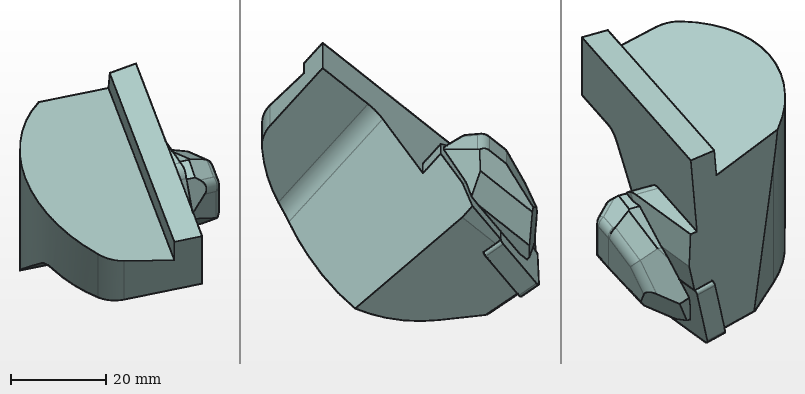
import cadquery as cq
import math

LENGTH = 59.5
FRONT_Y = -31.55
CLEAR = 89.25

FRONT_RADIUS = 32.25
FRONT_CENTRE_X = 34.6
FRONT_FLAT_ANGLE = math.radians(48.9)
END_RADIUS = 7.15

RAIL_TOP = 41.65
RAIL_WIDTH = 6.05
GROOVE_Z = 36.0
TOP_Z = 42.85

BOTTOM_Z = 0.7
BOTTOM_FLAT_Y = 1.2
UNDERCUT_Z = 27.0
UNDERCUT_FOOT_X = 22.1
UNDERCUT_X = 44.6
UNDERCUT_RADIUS = 5.35

LEFT_X = 0.55
LEFT_PER_Y = -0.19
LEFT_PER_Z = 0.18

BEVEL_DEPTH = 0.25

LEDGE_Z = 25.4
LEDGE_Y = 5.8
LEDGE_END_X = 31.9
LEDGE_BEND_X = 25.35
LEDGE_BEND_RADIUS = 4.35
RELIEF_Y = 5.55
RELIEF_PER_Z = -0.19

RAKE_PER_X = 0.2
RAKE_PER_Z = 0.11

INSERT_SIDE = 12.9
INSERT_ANGLE = math.radians(80)
INSERT_THICKNESS = 4.75
INSERT_NOSE_RADIUS = 0.85
INSERT_CORNER_X = -0.135

CLAMP_OUTLINE = [(4.75, 3.85), (4.75, 10.7), (12.55, 18.25), (21.4, 23.55), (26.8, 23.7), (31.55, 16.65), (22.6, 3.85)]
CLAMP_ROOT_Y = 1.8
CLAMP_CROWN_Y = 13.25
CLAMP_EDGE_RADIUS = 5.2 / 2
CLAMP_ROUNDED_EDGES = [
    (10.7, 10.6, 13.7),
    (16.05, 12.1, 18.0),
    (19.9, 13.2, 20.05),
    (23.5, 13.25, 20.0),
    (27.1, 12.2, 20.7),
    (26.65, 13.25, 15.45),
]
CLAMP_FACES = {
    "left crown": ((20.25, 13.25, 15.45), (-0.28, 1, 0)),
    "upper left": ((12.55, 8.8, 16.9), (-0.72, 0.42, 1)),
    "left": ((9.5, 7.75, 13.3), (-1.32, 0.42, 1)),
    "nose": ((5.8, 5.55, 8.9), (-1, 0.85, -0.3)),
    "top": ((23.8, 7.6, 23.7), (0, 0.65, 1)),
    "right": ((30.95, 5.95, 15.45), (1, 0.62, 0)),
    "bottom": ((22.6, 7.5, 5.35), (0, 0.5, -1)),
    "lower crown": ((22.6, 11.1, 8.2), (0, 1, -0.75)),
}


def half_space(origin, outward):
    """Large block lying on the outward side of a plane."""
    plane = cq.Plane(origin=origin, normal=outward)
    return cq.Workplane(plane).rect(2 * CLEAR, 2 * CLEAR).extrude(CLEAR)


def plan_outline():
    """Holder seen along Z: flat corner, large front arc and rounded right end."""
    centre_y = FRONT_Y + FRONT_RADIUS
    sin_flat = math.sin(FRONT_FLAT_ANGLE)
    cos_flat = math.cos(FRONT_FLAT_ANGLE)
    flat_end = (FRONT_CENTRE_X - FRONT_RADIUS * sin_flat, centre_y - FRONT_RADIUS * cos_flat)
    flat_start = (0, flat_end[1] + flat_end[0] * math.tan(FRONT_FLAT_ANGLE))

    round_x = LENGTH - END_RADIUS
    centre_gap = FRONT_RADIUS - END_RADIUS
    turn = math.asin((round_x - FRONT_CENTRE_X) / centre_gap)
    round_y = centre_y - centre_gap * math.cos(turn)
    round_start = (
        FRONT_CENTRE_X + FRONT_RADIUS * math.sin(turn),
        centre_y - FRONT_RADIUS * math.cos(turn),
    )
    half_turn = (turn + math.pi / 2) / 2
    round_mid = (
        round_x + END_RADIUS * math.sin(half_turn),
        round_y - END_RADIUS * math.cos(half_turn),
    )
    return (
        cq.Workplane("XY")
        .moveTo(0, 0)
        .lineTo(*flat_start)
        .lineTo(*flat_end)
        .radiusArc((FRONT_CENTRE_X, FRONT_Y), -FRONT_RADIUS)
        .radiusArc(round_start, -FRONT_RADIUS)
        .threePointArc(round_mid, (LENGTH, round_y))
        .lineTo(LENGTH, LEDGE_Y)
        .lineTo(0, LEDGE_Y)
        .close()
        .extrude(CLEAR)
    )


def side_profile():
    """Holder section along X: ledge, rail, groove, sloped top and sloped bottom."""
    bottom_front_z = BOTTOM_Z + RAKE_PER_Z * (BOTTOM_FLAT_Y - FRONT_Y)
    return (
        cq.Workplane("YZ")
        .polyline([
            (LEDGE_Y, BOTTOM_Z),
            (LEDGE_Y, LEDGE_Z),
            (0, LEDGE_Z),
            (0, RAIL_TOP),
            (-RAIL_WIDTH, RAIL_TOP),
            (-RAIL_WIDTH, GROOVE_Z),
            (FRONT_Y, TOP_Z),
            (FRONT_Y, bottom_front_z),
            (BOTTOM_FLAT_Y, BOTTOM_Z),
        ])
        .close()
        .extrude(LENGTH)
    )


def undercut():
    """Sloped clearance below the right end, with a rounded inner bend."""
    slope = (UNDERCUT_Z - BOTTOM_Z) / (UNDERCUT_X - UNDERCUT_FOOT_X)
    return (
        cq.Workplane("XZ", origin=(0, CLEAR / 2, 0))
        .polyline([
            (UNDERCUT_FOOT_X - BOTTOM_Z / slope, 0),
            (UNDERCUT_X, UNDERCUT_Z),
            (CLEAR, UNDERCUT_Z),
            (CLEAR, 0),
        ])
        .close()
        .extrude(CLEAR)
        .edges(cq.selectors.NearestToPointSelector((UNDERCUT_X, 0, UNDERCUT_Z)))
        .fillet(UNDERCUT_RADIUS)
    )


def bottom_bevel():
    """Material removed along the edge between the left end face and the bottom."""
    edge_z = BOTTOM_Z + RAKE_PER_Z * BOTTOM_FLAT_Y
    edge_x = LEFT_X + LEFT_PER_Z * edge_z
    left_normal = cq.Vector(-1, LEFT_PER_Y, LEFT_PER_Z).normalized()
    bottom_normal = cq.Vector(0, -RAKE_PER_Z, -1).normalized()
    outward = (left_normal + bottom_normal).normalized()
    return half_space(cq.Vector(edge_x, 0, edge_z) - outward * BEVEL_DEPTH, outward)


def ledge_trim():
    """Material removed behind the rail to leave the ledge."""
    slope = (UNDERCUT_Z - BOTTOM_Z) / (UNDERCUT_X - UNDERCUT_FOOT_X)
    slope_end_z = LEDGE_Z - slope * (LEDGE_END_X - LEDGE_BEND_X)
    kept = (
        cq.Workplane("XZ", origin=(0, CLEAR, 0))
        .polyline([
            (0, 0),
            (0, LEDGE_Z),
            (LEDGE_BEND_X, LEDGE_Z),
            (LEDGE_END_X, slope_end_z),
            (LEDGE_END_X, 0),
        ])
        .close()
        .extrude(CLEAR)
        .edges(cq.selectors.NearestToPointSelector((LEDGE_BEND_X, CLEAR / 2, LEDGE_Z)))
        .fillet(LEDGE_BEND_RADIUS)
        .cut(half_space((0, RELIEF_Y, 0), (-RAKE_PER_X, 1, -RELIEF_PER_Z)))
    )
    behind = cq.Workplane("XY").box(CLEAR, CLEAR, CLEAR, centered=False)
    return behind.cut(kept)


def make_clamp():
    """Faceted hump rising from the rake face, with its crown rounded over."""
    clamp = (
        cq.Workplane("XZ", origin=(0, CLAMP_ROOT_Y, 0))
        .polyline(CLAMP_OUTLINE)
        .close()
        .extrude(CLAMP_ROOT_Y - CLAMP_CROWN_Y)
    )
    for point, outward in CLAMP_FACES.values():
        clamp = clamp.cut(half_space(point, outward))
    rounded = cq.Workplane()
    for point in CLAMP_ROUNDED_EDGES:
        rounded = rounded.add(clamp.edges(cq.selectors.NearestToPointSelector(point)))
    return clamp.newObject(rounded.vals()).fillet(CLAMP_EDGE_RADIUS)


def make_insert():
    """Rhombic insert lying in the rake plane, with rounded corners."""
    plane = cq.Plane(
        origin=(INSERT_CORNER_X, RAKE_PER_X * INSERT_CORNER_X, 0),
        xDir=(1, RAKE_PER_X, 0),
        normal=(RAKE_PER_X, -1, RAKE_PER_Z),
    )
    lean = INSERT_SIDE * math.cos(INSERT_ANGLE)
    rise = INSERT_SIDE * math.sin(INSERT_ANGLE)
    return (
        cq.Workplane(plane)
        .polyline([(0, 0), (INSERT_SIDE, 0), (INSERT_SIDE + lean, rise), (lean, rise)])
        .close()
        .extrude(INSERT_THICKNESS)
        .edges(cq.selectors.ParallelDirSelector(plane.zDir))
        .fillet(INSERT_NOSE_RADIUS)
    )


def make_holder(insert):
    """Holder with its clamp and a pocket matching the insert."""
    body = plan_outline().intersect(side_profile())
    body = body.cut(undercut()).cut(ledge_trim())
    body = body.cut(half_space((LEFT_X, 0, 0), (-1, LEFT_PER_Y, LEFT_PER_Z)))
    body = body.cut(half_space((0, 0, 0), (-RAKE_PER_X, 1, -RAKE_PER_Z)))
    body = body.cut(bottom_bevel())
    return body.union(make_clamp()).cut(insert)


insert = make_insert()
holder = make_holder(insert)
result = cq.Compound.makeCompound([holder.val(), insert.val()])